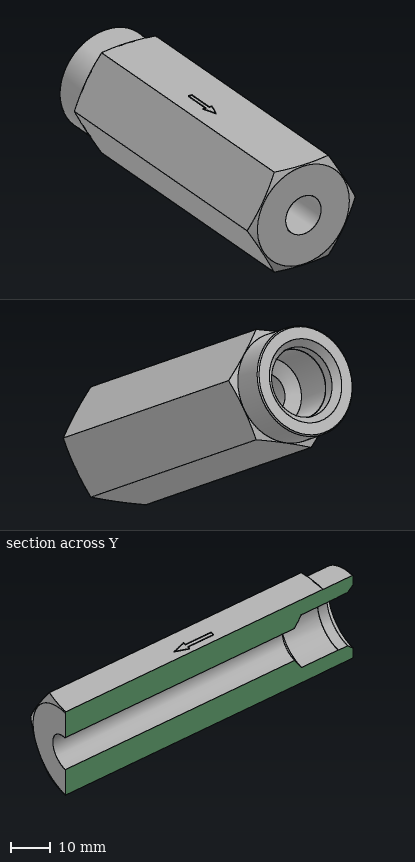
import cadquery as cq
import math

length = 88.9
across_flats = 28.5
across_corners = across_flats / math.cos(math.radians(30))
corner_radius = across_corners / 2

collar_radius = 28.45 / 2
collar_length = 9.4
collar_chamfer = 0.4

corner_chamfer_angle = 20.0
end_face_radius = 14.0

bore_radius = 10.8 / 2
port_radius = 17.9 / 2
port_depth = 16.0
mouth_radius = 18.05 / 2
mouth_depth = 4.7
countersink_radius = 21.6 / 2
countersink_depth = countersink_radius - mouth_radius
drill_point_angle = 118.0

arrow_tail_x = 41.7
arrow_neck_x = 49.6
arrow_tip_x = 53.4
arrow_y = -2.6
arrow_shaft_width = 1.1
arrow_head_width = 2.7
engraving_depth = 0.2


def revolve_about_x(points):
    """Spin an (x, radius) outline about the X axis."""
    return (
        cq.Workplane("XY")
        .polyline(points)
        .close()
        .revolve(360, (0, 0, 0), (1, 0, 0))
    )


def turned_envelope():
    """Collar and corner cones, as the lathe would cut them from the bar."""
    slope = math.tan(math.radians(corner_chamfer_angle))
    shoulder_run = (corner_radius - collar_radius) * slope
    end_run = (corner_radius - end_face_radius) * slope
    return revolve_about_x([
        (0, 0),
        (0, collar_radius - collar_chamfer),
        (collar_chamfer, collar_radius),
        (collar_length, collar_radius),
        (collar_length + shoulder_run, corner_radius),
        (length - end_run, corner_radius),
        (length, end_face_radius),
        (length, 0),
    ])


def hexagonal_bar():
    """Full-length bar with flats at top and bottom and corners at +Y and -Y."""
    return cq.Workplane("YZ").polygon(6, across_corners).extrude(length)


def bore():
    """Countersunk port with a slightly wider mouth, drill-point cone and through bore."""
    cone_length = (port_radius - bore_radius) / math.tan(math.radians(drill_point_angle / 2))
    return revolve_about_x([
        (0, 0),
        (0, countersink_radius),
        (countersink_depth, mouth_radius),
        (mouth_depth, mouth_radius),
        (mouth_depth, port_radius),
        (port_depth, port_radius),
        (port_depth + cone_length, bore_radius),
        (length, bore_radius),
        (length, 0),
    ])


def flow_arrow():
    """Arrow pointing along +X, sunk into the top flat."""
    half_shaft = arrow_shaft_width / 2
    half_head = arrow_head_width / 2
    return (
        cq.Workplane("XY", origin=(0, arrow_y, across_flats / 2))
        .polyline([
            (arrow_tail_x, -half_shaft),
            (arrow_neck_x, -half_shaft),
            (arrow_neck_x, -half_head),
            (arrow_tip_x, 0),
            (arrow_neck_x, half_head),
            (arrow_neck_x, half_shaft),
            (arrow_tail_x, half_shaft),
        ])
        .close()
        .extrude(-engraving_depth)
    )


result = hexagonal_bar().intersect(turned_envelope()).cut(bore()).cut(flow_arrow())